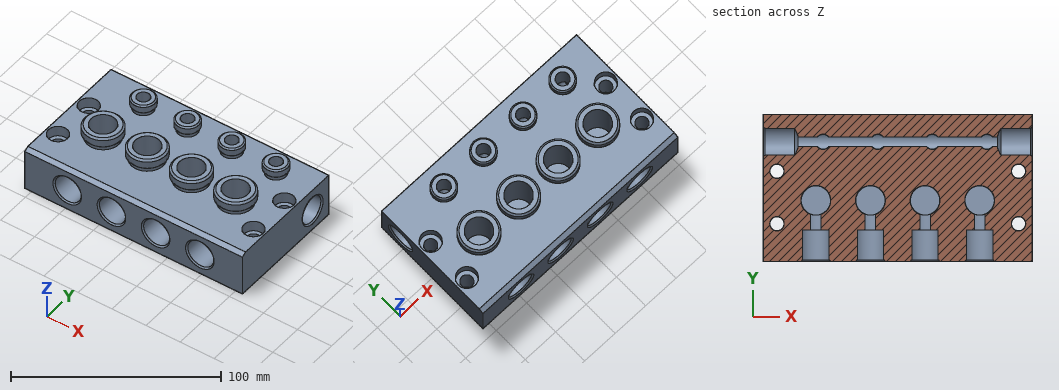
import cadquery as cq
import math

LENGTH = 128.0
WIDTH = 70.0
TOTAL_HEIGHT = 33.0
LARGE_FITTING_HEIGHT = 8.0
BLOCK_HEIGHT = TOTAL_HEIGHT - LARGE_FITTING_HEIGHT
BEVEL_DEPTH = 2.5
BEVEL_ANGLE = 30.0
BEVEL_HEIGHT = BEVEL_DEPTH * math.tan(math.radians(BEVEL_ANGLE))
FRONT_Y = -WIDTH / 2
BACK_Y = WIDTH / 2

STATION_COUNT = 4
STATION_PITCH = 26.0
STATIONS = [(i - (STATION_COUNT - 1) / 2) * STATION_PITCH for i in range(STATION_COUNT)]

LARGE_Y = BACK_Y - 41.0
LARGE_FLANGE_DIAMETER = 21.0
LARGE_NECK_DIAMETER = 18.5
LARGE_BORE_DIAMETER = 14.0
LARGE_NECK_HEIGHT = 1.8
LARGE_RIM_CHAMFER = 1.0

SMALL_SHIFT_X = 3.5
SMALL_Y = BACK_Y - 13.0
SMALL_FITTING_HEIGHT = 6.9
SMALL_FLANGE_DIAMETER = 13.2
SMALL_NECK_DIAMETER = 11.3
SMALL_BORE_DIAMETER = 7.0
SMALL_NECK_HEIGHT = 1.8
SMALL_RIM_CHAMFER = 0.8

PORT_Z = 12.0
PORT_DIAMETER = 15.2
PORT_MOUTH_DIAMETER = 16.8
PORT_DEPTH = 15.0
DRILL_POINT_ANGLE = 118.0
PASSAGE_DIAMETER = 10.0
FEED_DIAMETER = 12.0
FEED_Z = PORT_Z - 1.0
LARGE_BORE_FLOOR_Z = FEED_Z - FEED_DIAMETER / 2

MOUNT_SPACING_X = 115.0
MOUNT_SPACING_Y = 25.0
MOUNT_CENTRE_Y = BACK_Y - 39.5
MOUNT_HOLE_DIAMETER = 6.7
MOUNT_COUNTERBORE_DIAMETER = 11.0
MOUNT_COUNTERBORE_DEPTH = 6.0


def make_block():
    """Rectangular block with a shallow bevel along the top front edge."""
    outline = [
        (FRONT_Y, 0),
        (BACK_Y, 0),
        (BACK_Y, BLOCK_HEIGHT),
        (FRONT_Y + BEVEL_DEPTH, BLOCK_HEIGHT),
        (FRONT_Y, BLOCK_HEIGHT - BEVEL_HEIGHT),
    ]
    return cq.Workplane("YZ").polyline(outline).close().extrude(LENGTH / 2, both=True)


def cylinder(start, direction, diameter, length):
    """Cylinder running from the start point along the given direction."""
    return cq.Workplane(cq.Solid.makeCylinder(diameter / 2, length, cq.Vector(*start), cq.Vector(*direction)))


def cone(start, direction, start_diameter, end_diameter, length):
    """Cone frustum running from the start point along the given direction."""
    solid = cq.Solid.makeCone(
        start_diameter / 2, end_diameter / 2, length, cq.Vector(*start), cq.Vector(*direction)
    )
    return cq.Workplane(solid)


def make_fitting(x, y, height, flange_diameter, neck_diameter, neck_height, rim_chamfer):
    """Solid fitting: straight neck, 45 degree flare, flange and chamfered rim."""
    neck_radius = neck_diameter / 2
    flange_radius = flange_diameter / 2
    flare_height = flange_radius - neck_radius
    profile = [
        (0, 0),
        (neck_radius, 0),
        (neck_radius, neck_height),
        (flange_radius, neck_height + flare_height),
        (flange_radius, height - rim_chamfer),
        (flange_radius - rim_chamfer, height),
        (0, height),
    ]
    fitting = cq.Workplane("XZ").polyline(profile).close().revolve(360, (0, 0), (0, 1))
    return fitting.translate((x, y, BLOCK_HEIGHT))


def make_port(start, direction):
    """Flat-bottomed port with a 45 degree chamfered mouth."""
    mouth_depth = (PORT_MOUTH_DIAMETER - PORT_DIAMETER) / 2
    mouth = cone(start, direction, PORT_MOUTH_DIAMETER, PORT_DIAMETER, mouth_depth)
    return cylinder(start, direction, PORT_DIAMETER, PORT_DEPTH).union(mouth)


def make_end_port(side):
    """Port in one end (side = -1 or 1) tapering into the lengthwise passage."""
    inward = (-side, 0, 0)
    port_end = (side * (LENGTH / 2 - PORT_DEPTH), SMALL_Y, PORT_Z)
    taper_length = (PORT_DIAMETER - PASSAGE_DIAMETER) / 2 / math.tan(math.radians(DRILL_POINT_ANGLE / 2))
    taper = cone(port_end, inward, PORT_DIAMETER, PASSAGE_DIAMETER, taper_length)
    return make_port((side * LENGTH / 2, SMALL_Y, PORT_Z), inward).union(taper)


body = make_block()

for station_x in STATIONS:
    small_x = station_x + SMALL_SHIFT_X

    body = body.union(make_fitting(
        station_x, LARGE_Y, LARGE_FITTING_HEIGHT,
        LARGE_FLANGE_DIAMETER, LARGE_NECK_DIAMETER, LARGE_NECK_HEIGHT, LARGE_RIM_CHAMFER,
    ))
    body = body.union(make_fitting(
        small_x, SMALL_Y, SMALL_FITTING_HEIGHT,
        SMALL_FLANGE_DIAMETER, SMALL_NECK_DIAMETER, SMALL_NECK_HEIGHT, SMALL_RIM_CHAMFER,
    ))

    large_floor = (station_x, LARGE_Y, LARGE_BORE_FLOOR_Z)
    body = body.cut(cylinder(large_floor, (0, 0, 1), LARGE_BORE_DIAMETER, TOTAL_HEIGHT))
    small_bottom = (small_x, SMALL_Y, PORT_Z)
    body = body.cut(cylinder(small_bottom, (0, 0, 1), SMALL_BORE_DIAMETER, TOTAL_HEIGHT))

    body = body.cut(make_port((station_x, FRONT_Y, PORT_Z), (0, 1, 0)))
    feed_start_y = FRONT_Y + PORT_DEPTH
    feed_length = LARGE_Y - feed_start_y
    body = body.cut(cylinder((station_x, feed_start_y, FEED_Z), (0, 1, 0), FEED_DIAMETER, feed_length))

body = body.cut(cylinder((-LENGTH / 2, SMALL_Y, PORT_Z), (1, 0, 0), PASSAGE_DIAMETER, LENGTH))
for end_side in (-1, 1):
    body = body.cut(make_end_port(end_side))

result = (
    body.copyWorkplane(cq.Workplane("XY", origin=(0, MOUNT_CENTRE_Y, BLOCK_HEIGHT)))
    .rarray(MOUNT_SPACING_X, MOUNT_SPACING_Y, 2, 2)
    .cboreHole(MOUNT_HOLE_DIAMETER, MOUNT_COUNTERBORE_DIAMETER, MOUNT_COUNTERBORE_DEPTH)
)